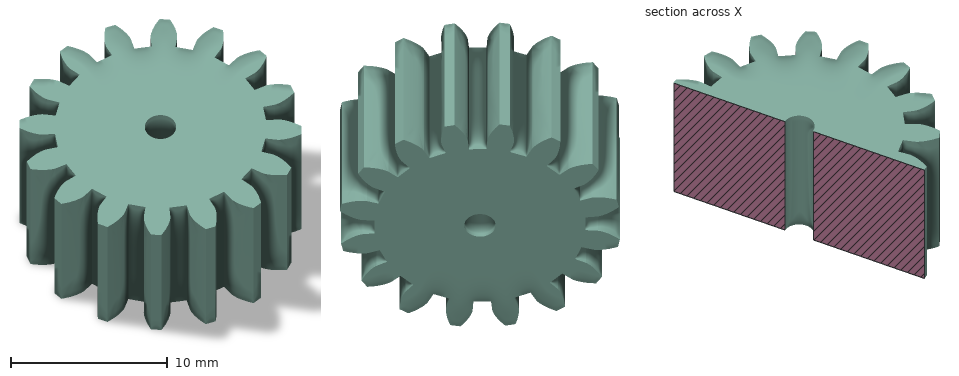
import cadquery as cq
import math

TOOTH_COUNT = 16
WIDTH_ACROSS_TIPS = 17.99
FACE_WIDTH = 9.37
BORE_DIAMETER = 2.0
PRESSURE_ANGLE = math.radians(20)
FLANK_STEPS = 5

ADDENDUM_FACTOR = 1.0
DEDENDUM_FACTOR = 1.25


def involute(angle):
    """Polar angle swept by an involute up to the given pressure angle."""
    return math.tan(angle) - angle


def polar(radius, angle):
    return (radius * math.cos(angle), radius * math.sin(angle))


TOOTH_PITCH = 2 * math.pi / TOOTH_COUNT
BASE_HALF_ANGLE = TOOTH_PITCH / 4 + involute(PRESSURE_ANGLE)
OUTER_TO_PITCH = 1 + 2 * ADDENDUM_FACTOR / TOOTH_COUNT
TIP_PRESSURE_ANGLE = math.acos(math.cos(PRESSURE_ANGLE) / OUTER_TO_PITCH)
TIP_HALF_ANGLE = BASE_HALF_ANGLE - involute(TIP_PRESSURE_ANGLE)

OUTER_RADIUS = WIDTH_ACROSS_TIPS / 2 / math.cos(TIP_HALF_ANGLE)
PITCH_RADIUS = OUTER_RADIUS / OUTER_TO_PITCH
BASE_RADIUS = PITCH_RADIUS * math.cos(PRESSURE_ANGLE)
MODULE = 2 * PITCH_RADIUS / TOOTH_COUNT
ROOT_RADIUS = PITCH_RADIUS - DEDENDUM_FACTOR * MODULE


def flank_points(center_angle, side):
    """Involute from base circle to tip; side is -1 or +1 from the tooth centre line."""
    points = []
    for step in range(FLANK_STEPS + 1):
        roll = math.tan(TIP_PRESSURE_ANGLE) * step / FLANK_STEPS
        radius = BASE_RADIUS * math.sqrt(1 + roll**2)
        half_angle = BASE_HALF_ANGLE - involute(math.atan(roll))
        points.append(polar(radius, center_angle + side * half_angle))
    return points


def gear_outline():
    """Closed outline: radial tooth roots, involute flanks, flat tips and flat gap floors."""
    outline = cq.Workplane("XY").moveTo(*polar(ROOT_RADIUS, -BASE_HALF_ANGLE))
    for tooth in range(TOOTH_COUNT):
        center_angle = tooth * TOOTH_PITCH
        if tooth > 0:
            outline = outline.lineTo(*polar(ROOT_RADIUS, center_angle - BASE_HALF_ANGLE))
        rising = flank_points(center_angle, -1)
        falling = flank_points(center_angle, 1)[::-1]
        outline = outline.lineTo(*rising[0]).spline(rising[1:], includeCurrent=True)
        outline = outline.lineTo(*falling[0]).spline(falling[1:], includeCurrent=True)
        outline = outline.lineTo(*polar(ROOT_RADIUS, center_angle + BASE_HALF_ANGLE))
    return outline.close()


gear = gear_outline().extrude(FACE_WIDTH)
bore = cq.Workplane("XY").circle(BORE_DIAMETER / 2).extrude(FACE_WIDTH)
result = gear.cut(bore)